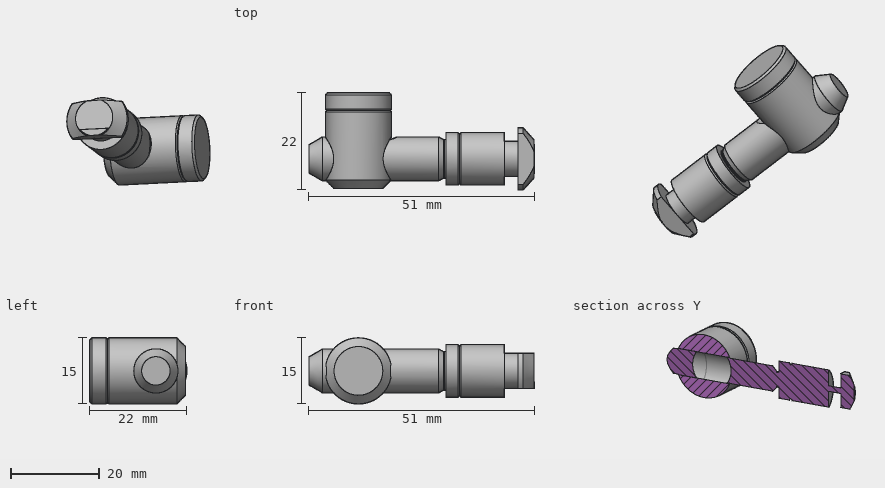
import cadquery as cq


drum_radius = 7.5
drum_front_y = -6.75
drum_back_y = 14.95
front_chamfer = 2.0
back_chamfer = 0.5
drum_groove_y = 10.9
drum_groove_half_width = 0.3
drum_groove_depth = 0.3

rod_radius = 5.0
tip_x = -11.15
tip_radius = 3.2
tip_cone_end_x = -8.1
rod_end_x = 18.1
neck_start_x = 19.25
neck_radius = 4.4
neck_groove_radius = 4.3
neck_groove_end_x = 19.5

collar_radius = 5.95
collar_start_x = 19.75
collar_end_x = 32.95
collar_groove_x = 22.85
collar_groove_half_width = 0.35
collar_groove_depth = 0.35

shank_radius = 4.05
head_start_x = 36.0
head_rim_end_x = 37.25
head_end_x = 39.7
head_radius = 7.05
head_end_radius = 4.35
head_flat_z = shank_radius
lip_radius = 4.15
lip_height = 0.15
lip_top_z = -2.55

seat_x = 2.05
seat_radius = 6.75
seat_floor_radius = 3.05
seat_depth = 2.25


def make_drum():
    """Turned drum with a chamfer at each end, a V-groove and a cross bore for the rod."""
    profile = [
        (0, drum_front_y),
        (drum_radius - front_chamfer, drum_front_y),
        (drum_radius, drum_front_y + front_chamfer),
        (drum_radius, drum_groove_y - drum_groove_half_width),
        (drum_radius - drum_groove_depth, drum_groove_y),
        (drum_radius, drum_groove_y + drum_groove_half_width),
        (drum_radius, drum_back_y - back_chamfer),
        (drum_radius - back_chamfer, drum_back_y),
        (0, drum_back_y),
    ]
    drum = cq.Workplane("XY").polyline(profile).close().revolve(360, (0, 0), (0, 1))
    bore = cq.Workplane("YZ").circle(rod_radius).extrude(drum_radius, both=True)
    return drum.cut(bore)


def make_turned_bolt():
    """Rod, neck, collar, shank and round head turned about X."""
    profile = [
        (tip_x, 0),
        (tip_x, tip_radius),
        (tip_cone_end_x, rod_radius),
        (rod_end_x, rod_radius),
        (neck_start_x, neck_radius),
        (neck_start_x, neck_groove_radius),
        (neck_groove_end_x, neck_groove_radius),
        (neck_groove_end_x, neck_radius),
        (collar_start_x, neck_radius),
        (collar_start_x, collar_radius),
        (collar_groove_x - collar_groove_half_width, collar_radius),
        (collar_groove_x, collar_radius - collar_groove_depth),
        (collar_groove_x + collar_groove_half_width, collar_radius),
        (collar_end_x, collar_radius),
        (collar_end_x, shank_radius),
        (head_start_x, shank_radius),
        (head_start_x, head_radius),
        (head_rim_end_x, head_radius),
        (head_end_x, head_end_radius),
        (head_end_x, 0),
    ]
    return cq.Workplane("XY").polyline(profile).close().revolve(360, (0, 0), (1, 0))


def make_head_side_cuts():
    """Blocks outside the two head flats."""
    length = head_end_x - head_start_x
    width = 2 * head_radius
    envelope = cq.Workplane("YZ", origin=(head_start_x, 0, 0)).rect(width, width).extrude(length)
    kept = cq.Workplane("YZ", origin=(head_start_x, 0, 0)).rect(width, 2 * head_flat_z).extrude(length)
    return envelope.cut(kept)


def make_end_lip():
    """Thin segment of a disc standing on the lower part of the head end."""
    disc = cq.Workplane("YZ", origin=(head_end_x, 0, 0)).circle(lip_radius).extrude(lip_height)
    segment_height = lip_top_z + head_flat_z
    segment_z = (lip_top_z - head_flat_z) / 2
    band = (
        cq.Workplane("YZ", origin=(head_end_x, 0, segment_z))
        .rect(2 * lip_radius, segment_height)
        .extrude(lip_height)
    )
    return disc.intersect(band)


def make_seat_cut():
    """Flat-bottomed cone that opens toward +Y."""
    floor_y = rod_radius - seat_depth
    seat = [
        (seat_x, floor_y),
        (seat_x + seat_floor_radius, floor_y),
        (seat_x + seat_radius, rod_radius),
        (seat_x, rod_radius),
    ]
    return cq.Workplane("XY").polyline(seat).close().revolve(360, (seat_x, 0), (seat_x, 1))


def make_bolt():
    bolt = make_turned_bolt().cut(make_head_side_cuts())
    return bolt.union(make_end_lip()).cut(make_seat_cut())


drum = make_drum()
bolt = make_bolt()
result = cq.Compound.makeCompound([drum.solids().val(), bolt.solids().val()])